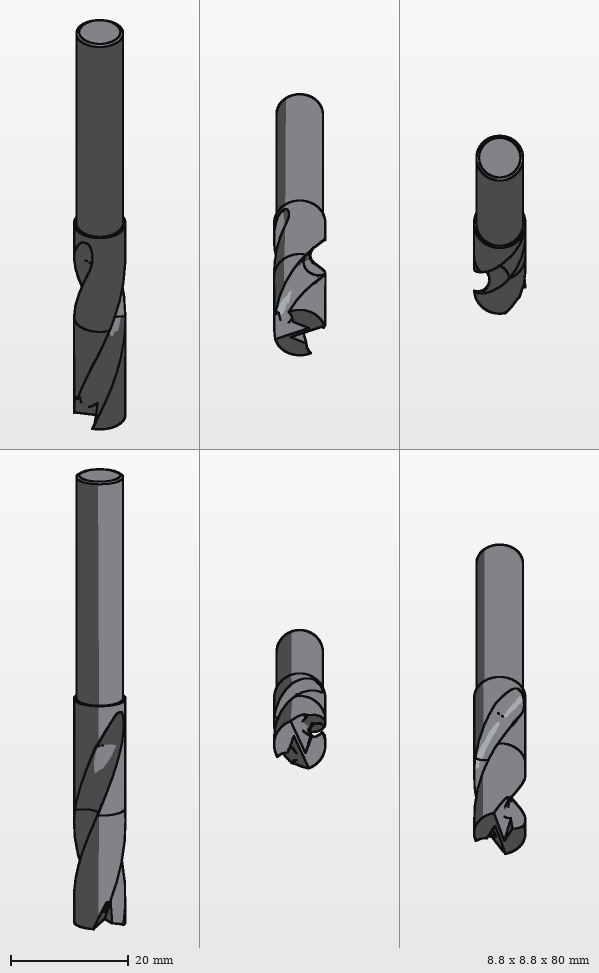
import cadquery as cq
import math

total_length = 80.0
shank_diameter = 8.0
shank_chamfer_width = 0.5
shank_chamfer_height = 0.3
cutting_diameter = 8.8
collar_top = 40.0
tip_length = 20.4

flute_count = 2
flute_radius = 2.6
flute_offset = 4.3
flute_pitch = 68.0
flute_top = 32.2
flute_top_angle = -4.0
flute_overrun = 0.8

runout_travel = cq.Vector(3.0, -2.0, 6.2)

gash_heel_x = -2.8
gash_heel_y = -3.2
gash_inner_x = 1.4
gash_inner_y = 1.0
gash_height = 4.8
gash_lean = 3.0
gash_depth = 6.4


def around_axis(cutter):
    """Return one copy of a cutter for each flute."""
    step = 360.0 / flute_count
    return [cutter.rotate((0, 0, 0), (0, 0, 1), i * step) for i in range(flute_count)]


def make_helix_cutter():
    length = flute_top + flute_overrun
    twist = 360.0 * length / flute_pitch
    return (
        cq.Workplane("XY")
        .moveTo(0, -flute_offset)
        .circle(flute_radius)
        .twistExtrude(length, twist)
        .rotate((0, 0, 0), (0, 0, 1), flute_top_angle - twist)
        .translate((0, 0, -flute_overrun))
    )


def make_runout_cutter():
    angle = math.radians(flute_top_angle)
    center = cq.Vector(flute_offset * math.sin(angle), -flute_offset * math.cos(angle), flute_top)
    profile = cq.Wire.makeCircle(flute_radius, center, cq.Vector(0, 0, 1))
    return cq.Workplane(obj=cq.Solid.extrudeLinear(profile, [], runout_travel))


def gash_outline(outward):
    """Outline of the gash with its sloping face moved outward from the axis."""
    return [
        (gash_heel_x, gash_heel_y - outward),
        (gash_inner_x, gash_inner_y - outward),
        (gash_inner_x, gash_inner_y - gash_depth),
        (gash_heel_x, gash_heel_y - gash_depth),
    ]


def make_gash_cutter():
    return (
        cq.Workplane("XY")
        .polyline(gash_outline(0))
        .close()
        .workplane(offset=gash_height)
        .polyline(gash_outline(gash_lean))
        .close()
        .loft(ruled=True)
    )


def make_tip():
    tip = cq.Workplane("XY").circle(cutting_diameter / 2).extrude(tip_length)
    for cutter in around_axis(make_helix_cutter()) + around_axis(make_gash_cutter()):
        tip = tip.cut(cutter)
    return tip


def make_holder():
    collar = (
        cq.Workplane("XY")
        .workplane(offset=tip_length)
        .circle(cutting_diameter / 2)
        .extrude(collar_top - tip_length)
    )
    for cutter in around_axis(make_helix_cutter()) + around_axis(make_runout_cutter()):
        collar = collar.cut(cutter)
    shank = (
        cq.Workplane("XY")
        .workplane(offset=collar_top)
        .circle(shank_diameter / 2)
        .extrude(total_length - collar_top)
        .faces(">Z")
        .edges()
        .chamfer(shank_chamfer_height, shank_chamfer_width)
    )
    return collar.union(shank)


tip = make_tip()
holder = make_holder()

result = cq.Compound.makeCompound([tip.val(), holder.val()])